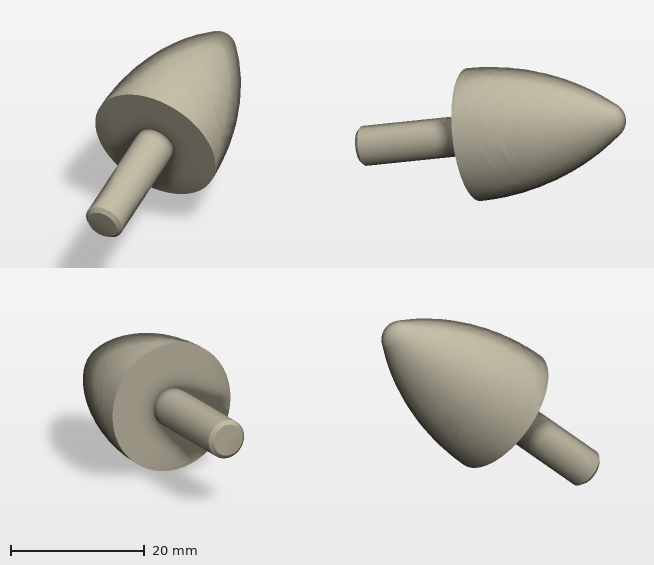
import cadquery as cq

total_length = 42.0
head_diameter = 20.0
head_length = 24.0
nose_radius = 2.85
stud_diameter = 6.0
stud_chamfer = 0.6

head_radius = head_diameter / 2
stud_radius = stud_diameter / 2
stud_length = total_length - head_length

nose_center_y = head_length - nose_radius
radius_step = head_radius - nose_radius
flank_radius = nose_radius + (nose_center_y**2 + radius_step**2) / (2 * radius_step)
flank_center_x = head_radius - flank_radius
center_distance = flank_radius - nose_radius

tangent_x = -flank_center_x / center_distance
tangent_y = nose_center_y / center_distance


def arc_midpoint(center, radius, start, end):
    """Point halfway along the minor arc from start to end."""
    chord_middle = (cq.Vector(*start) + cq.Vector(*end)) * 0.5
    arc_center = cq.Vector(*center)
    middle = arc_center + (chord_middle - arc_center).normalized() * radius
    return (middle.x, middle.y)


def make_head():
    """Pointed bullet head: flat seat, curved flank and spherical nose."""
    rim = (head_radius, 0)
    tip = (0, head_length)
    tangent = (nose_radius * tangent_x, nose_center_y + nose_radius * tangent_y)
    flank_middle = arc_midpoint((flank_center_x, 0), flank_radius, rim, tangent)
    nose_middle = arc_midpoint((0, nose_center_y), nose_radius, tangent, tip)
    profile = (
        cq.Workplane("XY")
        .lineTo(*rim)
        .threePointArc(flank_middle, tangent)
        .threePointArc(nose_middle, tip)
        .close()
    )
    return profile.revolve(360, (0, 0), (0, 1))


def make_stud():
    """Plain cylindrical stud below the seat, chamfered at its free end."""
    stud = cq.Workplane("XZ").circle(stud_radius).extrude(stud_length)
    return stud.faces("<Y").chamfer(stud_chamfer)


result = make_head().union(make_stud())